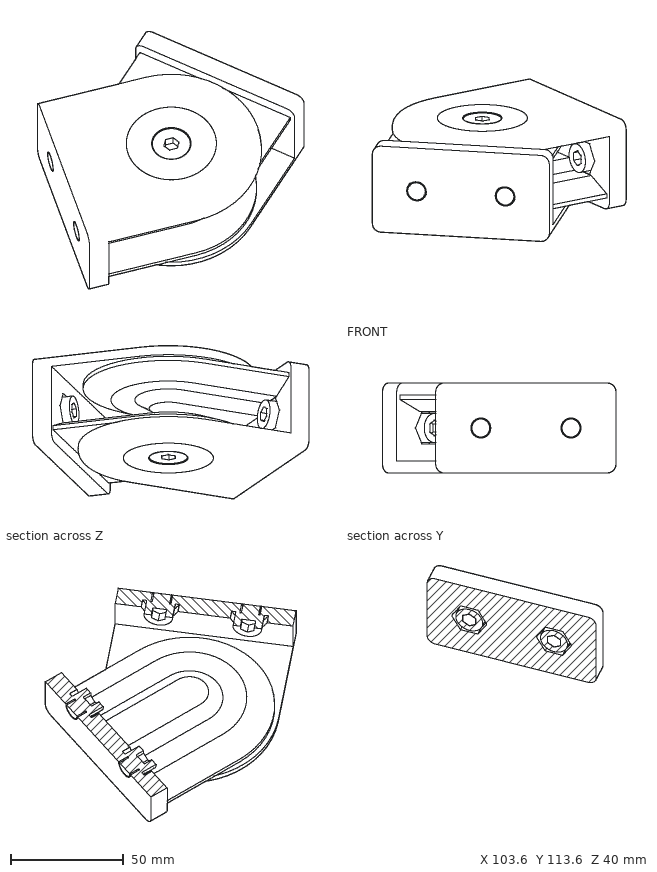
import cadquery as cq
import math


HALF_WIDTH = 40.0
HEIGHT = HALF_WIDTH
TOP_Z = HEIGHT / 2
FOOT_REACH = 50.0
FOOT_THICKNESS = 9.0
FOOT_INNER = FOOT_REACH - FOOT_THICKNESS
EDGE_RADIUS = 4.0
FOLD_ANGLE = 45.0

ARM_THICKNESS = 5.5
PLATE_HALF_WIDTH = 37.8
PLATE_EDGE_HEIGHT = 7.4
LAND_HALF_WIDTH = 25.5
LAND_HEIGHT = 12.7
RIDGE_BASE_HALF_WIDTH = 14.9
RIDGE_TOP_HALF_WIDTH = 8.5
RIDGE_HEIGHT = 16.7

BOSS_RADIUS = HALF_WIDTH / 2
COUNTERSINK_RADIUS = 8.8
COUNTERSINK_TAPER = 45.0
COUNTERSINK_DEPTH = 0.3

BOLT_OFFSET = HALF_WIDTH / 2
BOLT_HEAD_RADIUS = 6.5
BOLT_HEAD_PROJECTION = 3.8
BOLT_RADIUS = 4.0
BOLT_HOLE_RADIUS = 4.4
HEX_POCKET_FLATS = 14.2
HEX_POCKET_DEPTH = 4.0

SOCKET_FLATS = 6.0
SOCKET_DEPTH = 4.0
BOLT_SOCKET_TURN = 90.0
PIVOT_SOCKET_TURN = 15.0


def hexagon_diameter(across_flats):
    """Corner-to-corner size of a hexagon."""
    return across_flats / math.cos(math.radians(30))


def round_ended(half_section):
    """Turn a half section into a bar with a rounded end on the pivot and a straight run to the foot."""
    outline = half_section.val()
    rounded_end = cq.Workplane("XZ").add(outline).toPending().revolve(360, (0, 0), (0, 1))
    straight_half = cq.Workplane("XZ").add(outline).toPending().extrude(FOOT_INNER)
    return rounded_end.union(straight_half).union(straight_half.mirror("YZ"))


def make_foot():
    """Upright end plate with its four long edges rounded."""
    return (
        cq.Workplane("XZ")
        .workplane(offset=FOOT_INNER)
        .rect(2 * HALF_WIDTH, HEIGHT)
        .extrude(FOOT_THICKNESS)
        .edges("|Y")
        .fillet(EDGE_RADIUS)
    )


def make_arm():
    """Top arm with a rounded rim and a round hole for the boss of the other fork."""
    arc_offset = EDGE_RADIUS * math.sin(math.radians(45))
    arc_middle = (HALF_WIDTH - EDGE_RADIUS + arc_offset, TOP_Z - EDGE_RADIUS + arc_offset)
    half_section = (
        cq.Workplane("XZ")
        .moveTo(0, TOP_Z - ARM_THICKNESS)
        .lineTo(HALF_WIDTH, TOP_Z - ARM_THICKNESS)
        .lineTo(HALF_WIDTH, TOP_Z - EDGE_RADIUS)
        .threePointArc(arc_middle, (HALF_WIDTH - EDGE_RADIUS, TOP_Z))
        .lineTo(0, TOP_Z)
        .close()
    )
    boss_hole = cq.Workplane("XY").circle(BOSS_RADIUS).extrude(HEIGHT)
    return round_ended(half_section).cut(boss_hole)


def make_inner_plate():
    """Lower plate lying on the arm of the other fork, stepped up to a ridge by two bevels."""
    bottom_z = -TOP_Z
    half_section = (
        cq.Workplane("XZ")
        .moveTo(0, bottom_z + ARM_THICKNESS)
        .lineTo(PLATE_HALF_WIDTH, bottom_z + ARM_THICKNESS)
        .lineTo(PLATE_HALF_WIDTH, bottom_z + PLATE_EDGE_HEIGHT)
        .lineTo(LAND_HALF_WIDTH, bottom_z + LAND_HEIGHT)
        .lineTo(RIDGE_BASE_HALF_WIDTH, bottom_z + LAND_HEIGHT)
        .lineTo(RIDGE_TOP_HALF_WIDTH, bottom_z + RIDGE_HEIGHT)
        .lineTo(0, bottom_z + RIDGE_HEIGHT)
        .close()
    )
    return round_ended(half_section)


def make_pivot_boss():
    """Disc that fills the hole of the other arm, with a countersunk socket screw head."""
    bottom = cq.Workplane("XY").workplane(offset=-TOP_Z)
    disc = bottom.circle(BOSS_RADIUS).extrude(ARM_THICKNESS)
    countersink = bottom.circle(COUNTERSINK_RADIUS).extrude(COUNTERSINK_DEPTH, taper=COUNTERSINK_TAPER)
    head_face = bottom.workplane(offset=COUNTERSINK_DEPTH)
    socket = (
        head_face.transformed(rotate=(0, 0, PIVOT_SOCKET_TURN))
        .polygon(6, hexagon_diameter(SOCKET_FLATS))
        .extrude(SOCKET_DEPTH)
    )
    return disc.cut(countersink).cut(socket)


def add_foot_bolt(body, x):
    """Fit a socket head bolt into a hexagonal pocket and a clearance hole of the foot."""
    inner_face = cq.Workplane("XZ", origin=(x, -FOOT_INNER, 0))
    pocket = inner_face.polygon(6, hexagon_diameter(HEX_POCKET_FLATS)).extrude(HEX_POCKET_DEPTH)
    hole = inner_face.circle(BOLT_HOLE_RADIUS).extrude(FOOT_THICKNESS)

    head_face = inner_face.workplane(offset=-BOLT_HEAD_PROJECTION)
    head = head_face.circle(BOLT_HEAD_RADIUS).extrude(BOLT_HEAD_PROJECTION + HEX_POCKET_DEPTH)
    shank = inner_face.circle(BOLT_RADIUS).extrude(FOOT_THICKNESS)
    socket = (
        head_face.transformed(rotate=(0, 0, BOLT_SOCKET_TURN))
        .polygon(6, hexagon_diameter(SOCKET_FLATS))
        .extrude(SOCKET_DEPTH)
    )
    bolt = head.union(shank).cut(socket)
    return body.cut(pocket).cut(hole).union(bolt)


def make_fork():
    """One half of the hinge, with its foot on the -Y side and its arm on top."""
    fork = make_foot().union(make_arm()).union(make_inner_plate()).union(make_pivot_boss())
    for x in (-BOLT_OFFSET, BOLT_OFFSET):
        fork = add_foot_bolt(fork, x)
    return fork


forks = [
    make_fork(),
    make_fork().rotate((0, 0, 0), (1, 0, 0), 180).rotate((0, 0, 0), (0, 0, 1), FOLD_ANGLE),
]

result = cq.Compound.makeCompound([fork.solids().val() for fork in forks])